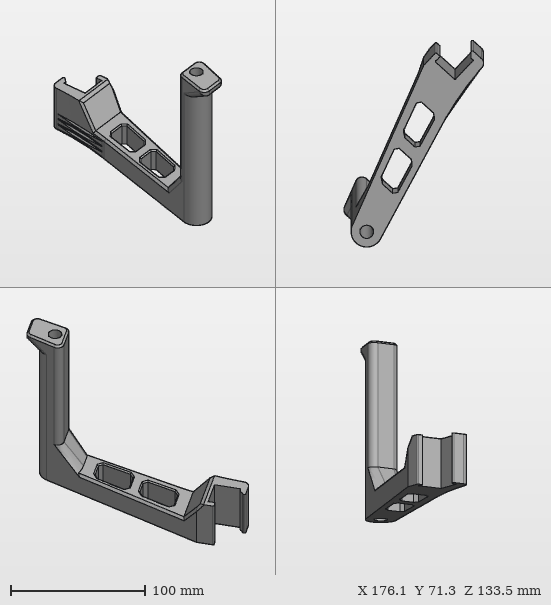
import cadquery as cq
import math

length = 176.1
total_height = 133.5
head_height = 37.7
deck_height = 18.0

corner_radius = 5.0
front_angle = math.radians(15)
back_angle = math.radians(19.3)
back_y = 71.3
back_bend_x = 33.1
grip_end_x = 55.8
grip_radius = 225.5

channel_x = 25.2
channel_front_y = 46.9
channel_back_y = 67.0
finger_x = 19.7
hook_x = 5.1
hook_shoulder_y = 49.1
hook_tip_y = 52.5
clip_tip_radius = 0.9

ramp_top_x = 29.6
ramp_foot_x = 44.2
gusset_foot_x = 130.9
column_x = 146.0
overhang_start_z = 118.5
overhang_start_x = 161.5
overhang_edge_z = 128.4
top_chamfer = 1.5
deck_chamfer = 2.0

gusset_round_start_y = 25.0
gusset_round_middle_x = 131.4
gusset_round_middle_y = 30.6
gusset_round_end_x = 133.2

hole_diameter = 10.0
hole_x = 155.0

window_left = 54.8
window_right = 83.1
window_corners_y = (38.2, 30.6, 47.4, 56.7)
window_step = (37.2, -11.8)
window_corner_cut = 3.2
window_chamfer = 1.0

ridge_count = 3
ridge_height = 4.0
ridge_pitch = 5.0
ridge_peak = 1.5
ridge_base_z = 0.7
ridge_start_x = 6.2
ridge_end_x = 53.4

margin = 0.2
edges_across = cq.selectors.ParallelDirSelector(cq.Vector(0, 1, 0))


def front_line(x):
    """Y of the straight front face; the rounded outer corner just touches y = 0."""
    touch_x = length - corner_radius * (1 + math.sin(front_angle))
    touch_y = corner_radius * (1 - math.cos(front_angle))
    return touch_y + (touch_x - x) * math.tan(front_angle)


def back_line(x):
    """Y of the sloping back face."""
    return back_y - (x - back_bend_x) * math.tan(back_angle)


grip_axis_x = grip_end_x - grip_radius * math.sin(front_angle)
grip_axis_y = front_line(grip_end_x) - grip_radius * math.cos(front_angle)


def grip_point(x):
    """Point of the grip arc at a given X."""
    return (x, grip_axis_y + math.sqrt(grip_radius**2 - (x - grip_axis_x) ** 2))


front_weight = math.cos(front_angle)
back_weight = math.cos(back_angle)
weighted_y = front_line(hole_x) * front_weight + back_line(hole_x) * back_weight
hole_y = weighted_y / (front_weight + back_weight)
end_radius = (hole_y - front_line(hole_x)) * front_weight
end_front = (hole_x - end_radius * math.sin(front_angle), hole_y - end_radius * math.cos(front_angle))
end_back = (hole_x + end_radius * math.sin(back_angle), hole_y + end_radius * math.cos(back_angle))


def extrude_profile(points):
    """Extrude an XZ profile well past the depth of the part."""
    return cq.Workplane("XZ").polyline(points).close().extrude(back_y, both=True)


def make_plan():
    """Full-height solid of the plan outline with the clip at its head."""
    plan = (
        cq.Workplane("XY")
        .moveTo(*grip_point(0))
        .threePointArc(grip_point(grip_end_x / 2), grip_point(grip_end_x))
        .lineTo(*end_front)
        .threePointArc((hole_x + end_radius, hole_y), end_back)
        .lineTo(back_bend_x, back_y)
        .lineTo(finger_x, back_y)
        .lineTo(finger_x, channel_back_y)
        .lineTo(channel_x, channel_back_y)
        .lineTo(channel_x, channel_front_y)
        .lineTo(hook_x, channel_front_y)
        .lineTo(hook_x, hook_shoulder_y)
        .lineTo(hook_x - (hook_tip_y - hook_shoulder_y), hook_tip_y)
        .lineTo(0, hook_tip_y)
        .close()
        .extrude(total_height)
    )
    rounds = [
        (grip_point(0), corner_radius),
        ((0, hook_tip_y), clip_tip_radius),
        ((finger_x, back_y), clip_tip_radius),
    ]
    for corner, radius in rounds:
        edge = cq.selectors.NearestToPointSelector((*corner, total_height / 2))
        plan = plan.edges(edge).fillet(radius)
    return plan


def make_body():
    """Head, arm, gusset and column with their edge breaks."""
    body = make_plan().intersect(
        extrude_profile(
            [
                (0, 0),
                (length, 0),
                (length, total_height),
                (column_x, total_height),
                (column_x, head_height),
                (gusset_foot_x, deck_height),
                (ramp_foot_x, deck_height),
                (ramp_top_x, head_height),
                (0, head_height),
            ]
        )
    )
    front_edges = cq.selectors.BoxSelector(
        (gusset_foot_x, 0, deck_height),
        (column_x + margin, front_line(gusset_foot_x), total_height),
    )
    body = body.edges(front_edges - edges_across).fillet(corner_radius)
    body = body.cut(make_back_corner_cut())
    deck_edges = cq.selectors.BoxSelector(
        (ramp_top_x - margin, 0, deck_height - margin),
        (gusset_foot_x - margin, back_y + margin, head_height + margin),
    )
    ramp_foot_edge = cq.selectors.BoxSelector(
        (ramp_foot_x - margin, 0, deck_height - margin),
        (ramp_foot_x + margin, back_y, deck_height + margin),
    )
    return body.edges(deck_edges - ramp_foot_edge).chamfer(deck_chamfer)


def corner_wedge(start, middle, end):
    """Wire that joins an arc to a point well outside the back left corner."""
    outside = (start[0] - corner_radius, end[1] + corner_radius)
    return cq.Wire.assembleEdges(
        [
            cq.Edge.makeThreePointArc(cq.Vector(*start), cq.Vector(*middle), cq.Vector(*end)),
            cq.Edge.makeLine(cq.Vector(*end), cq.Vector(*outside, end[2])),
            cq.Edge.makeLine(cq.Vector(*outside, end[2]), cq.Vector(*start)),
        ]
    )


def column_wedge(z):
    """Corner wedge that leaves a tangent round on the back left column edge."""
    corner_angle = math.pi / 2 - back_angle
    axis_x = column_x + corner_radius
    axis_y = back_line(column_x) - corner_radius / math.tan(corner_angle / 2)

    def on_round(angle):
        return (axis_x + corner_radius * math.cos(angle), axis_y + corner_radius * math.sin(angle), z)

    return corner_wedge(on_round(math.pi), on_round((math.pi + corner_angle) / 2), on_round(corner_angle))


def make_back_corner_cut():
    """Cutter for the column's back edge; the round widens down the gusset."""
    gusset_wedge = corner_wedge(
        (gusset_foot_x, gusset_round_start_y, deck_height),
        (gusset_round_middle_x, gusset_round_middle_y, deck_height),
        (gusset_round_end_x, back_line(gusset_round_end_x), deck_height),
    )
    wedges = [gusset_wedge, column_wedge(head_height), column_wedge(total_height)]
    return cq.Workplane(cq.Solid.makeLoft(wedges, True))


def make_overhang():
    """Tip that leans out past the round column end, with a sloping underside."""
    block = (
        cq.Workplane("XY")
        .moveTo(*end_front)
        .lineTo(length, front_line(length))
        .lineTo(length, back_line(length))
        .lineTo(*end_back)
        .close()
        .extrude(total_height)
    )
    slope = (overhang_edge_z - overhang_start_z) / (length - overhang_start_x)
    profile = extrude_profile(
        [
            (column_x, overhang_edge_z - slope * (length - column_x)),
            (length, overhang_edge_z),
            (length, total_height),
            (column_x, total_height),
        ]
    )
    tip = block.intersect(profile)
    outer_edges = cq.selectors.BoxSelector(
        (end_back[0] + margin, -back_y, 0),
        (length + margin, back_y, total_height - margin),
    )
    tip = tip.edges(outer_edges - edges_across).fillet(corner_radius)
    below_start = cq.Workplane("XY").box(2 * length, 2 * back_y, overhang_start_z, centered=(True, True, False))
    return tip.cut(below_start)


def make_windows():
    """Two through windows with cut corners and a chamfered upper rim."""
    front_left, front_right, back_right, back_left = window_corners_y
    window = (
        cq.Workplane("XY")
        .polyline(
            [
                (window_left, front_left),
                (window_right, front_right),
                (window_right, back_right),
                (window_left, back_left),
            ]
        )
        .close()
        .extrude(deck_height)
        .edges("|Z")
        .chamfer(window_corner_cut)
    )
    top_outline = window.faces(">Z").wires().val()
    rim_outline = top_outline.offset2D(window_chamfer, "intersection")[0]
    lower_outline = top_outline.translate((0, 0, -window_chamfer))
    rim = cq.Workplane(cq.Solid.makeLoft([lower_outline, rim_outline], True))
    window = window.union(rim)
    return window.union(window.translate(window_step))


def make_ridges():
    """Flat-topped ridges across the grip, highest at the middle of the arc."""
    start = grip_point(ridge_start_x)
    end = grip_point(ridge_end_x)
    buried_y = start[1] + ridge_height
    buried_radius = grip_radius + ridge_height / 2
    behind_grip = (
        cq.Workplane("XY")
        .polyline([start, end, (ridge_end_x, buried_y), (ridge_start_x, buried_y)])
        .close()
        .extrude(head_height)
    )
    ridges = cq.Workplane("XY")
    for index in range(ridge_count):
        bottom = ridge_base_z + index * ridge_pitch
        ring = (
            cq.Workplane("XZ")
            .moveTo(grip_radius, bottom)
            .lineTo(grip_radius - ridge_peak, bottom + ridge_height / 2)
            .lineTo(grip_radius, bottom + ridge_height)
            .lineTo(buried_radius, bottom + ridge_height)
            .lineTo(buried_radius, bottom)
            .close()
            .revolve(360, (0, 0, 0), (0, 1, 0))
            .translate((grip_axis_x, grip_axis_y, 0))
        )
        ridges = ridges.add(behind_grip.intersect(ring))
    return ridges.combine()


def make_hole():
    """Vertical hole through the whole column, on the axis of its round end."""
    return cq.Workplane("XY").center(hole_x, hole_y).circle(hole_diameter / 2).extrude(total_height)


result = make_body().union(make_overhang())
result = result.faces(">Z").edges().chamfer(top_chamfer)
result = result.cut(make_hole()).cut(make_windows()).union(make_ridges())